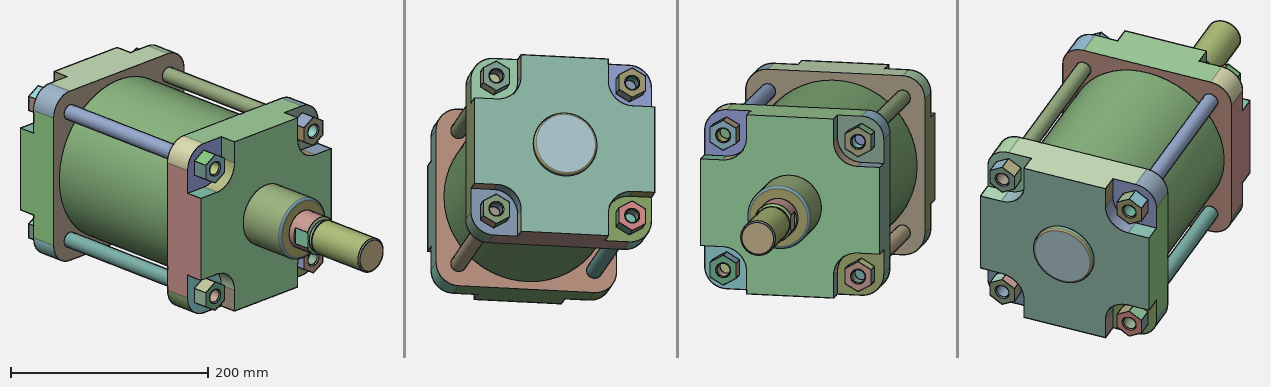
import cadquery as cq
import math


cap_side = 186.0
cap_thickness = 48.0
cap_corner_radius = 23.0
pocket_size = 48.0
pocket_depth = 19.0
pocket_corner_radius = 25.0

boss_diameter = 65.0
rear_boss_length = 6.0
rear_boss_fillet = 2.0
front_boss_length = 53.5
front_boss_fillet = 2.5

barrel_diameter = 170.0
barrel_length = 164.0

tie_offset = cap_side / 2 - cap_corner_radius
tie_diameter = 16.0
nut_across_flats = 27.0
nut_inset = 2.5
nut_height = pocket_depth - nut_inset
socket_diameter = 13.5
socket_mouth_diameter = 15.5
socket_taper_length = 1.5

rod_diameter = 40.0
thread_diameter = 36.0
undercut_diameter = 34.0
collar_length = 7.0
flats_length = 19.0
flats_width = 36.0
undercut_length = 4.0
thread_length = 68.5
thread_chamfer = 1.5
shoulder_chamfer_length = 1.5

barrel_start = cap_thickness
barrel_end = barrel_start + barrel_length
front_face = barrel_end + cap_thickness
boss_end = front_face + front_boss_length
flats_start = boss_end + collar_length
flats_end = flats_start + flats_length
thread_start = flats_end + undercut_length

signs = (-1, 1)
tie_places = [(y * tie_offset, z * tie_offset) for y in signs for z in signs]


def section(x):
    """Workplane across the cylinder axis at station x, local axes Y and Z."""
    return cq.Workplane("YZ", origin=(x, 0, 0))


def round_bar(x, diameter, length):
    return section(x).circle(diameter / 2).extrude(length)


def make_cap(start, pocket_start):
    """Square cap with rounded edges, four corner pockets and tie rod holes."""
    cap = section(start).rect(cap_side, cap_side).extrude(cap_thickness)
    cap = cap.edges("|X").fillet(cap_corner_radius)
    cutters = (
        section(pocket_start)
        .rect(cap_side, cap_side, forConstruction=True)
        .vertices()
        .rect(2 * pocket_size, 2 * pocket_size)
        .extrude(pocket_depth)
        .edges("|X")
        .fillet(pocket_corner_radius)
    )
    tie_holes = section(start).pushPoints(tie_places).circle(tie_diameter / 2).extrude(cap_thickness)
    return cap.cut(cutters).cut(tie_holes)


def make_rear_cap():
    boss = round_bar(-rear_boss_length, boss_diameter, rear_boss_length)
    boss = boss.faces("<X").edges().fillet(rear_boss_fillet)
    return make_cap(0, 0).union(boss)


def make_front_cap():
    boss = round_bar(front_face, boss_diameter, front_boss_length)
    boss = boss.faces(">X").edges().fillet(front_boss_fillet)
    rod_bore = round_bar(barrel_end, rod_diameter, boss_end - barrel_end)
    return make_cap(barrel_end, front_face - pocket_depth).union(boss).cut(rod_bore)


def make_barrel():
    return round_bar(barrel_start, barrel_diameter, barrel_length)


def make_nut(x, outer_face):
    """Hexagonal nut, two corners along Z, with a socket chamfered at its outer face."""
    across_corners = nut_across_flats / math.cos(math.pi / 6)
    nut = section(x).polygon(6, across_corners).extrude(nut_height)
    nut = nut.rotate((0, 0, 0), (1, 0, 0), 90)
    taper_depth = (socket_mouth_diameter - socket_diameter) / 2
    socket = round_bar(x, socket_diameter, nut_height)
    return nut.cut(socket).faces(outer_face).edges("%CIRCLE").chamfer(taper_depth, socket_taper_length)


def make_tie_rod(y, z):
    rear_seat = pocket_depth
    front_seat = front_face - pocket_depth
    tie_rod = (
        round_bar(rear_seat, tie_diameter, front_seat - rear_seat)
        .union(make_nut(nut_inset, "<X"))
        .union(make_nut(front_seat, ">X"))
    )
    return tie_rod.translate((0, y, z))


def make_piston_rod():
    shank = round_bar(barrel_end, rod_diameter, flats_end - barrel_end)
    shoulder_chamfer_depth = (rod_diameter - undercut_diameter) / 2
    shank = shank.faces(">X").chamfer(shoulder_chamfer_length, shoulder_chamfer_depth)
    flat_depth = (rod_diameter - flats_width) / 2
    flat_center = (flats_width + flat_depth) / 2
    flat_cutters = (
        section(flats_start)
        .pushPoints([(sign * flat_center, 0) for sign in signs])
        .rect(flat_depth, rod_diameter)
        .extrude(flats_length)
    )
    undercut = round_bar(flats_end, undercut_diameter, undercut_length)
    thread = round_bar(thread_start, thread_diameter, thread_length).faces(">X").chamfer(thread_chamfer)
    return shank.cut(flat_cutters).union(undercut).union(thread)


rear_cap = make_rear_cap()
front_cap = make_front_cap()
barrel = make_barrel()
piston_rod = make_piston_rod()
tie_rods = [make_tie_rod(y, z) for y, z in tie_places]

result = cq.Compound.makeCompound(
    [
        rear_cap.val(),
        front_cap.val(),
        barrel.val(),
        piston_rod.val(),
        *[tie_rod.val() for tie_rod in tie_rods],
    ]
)